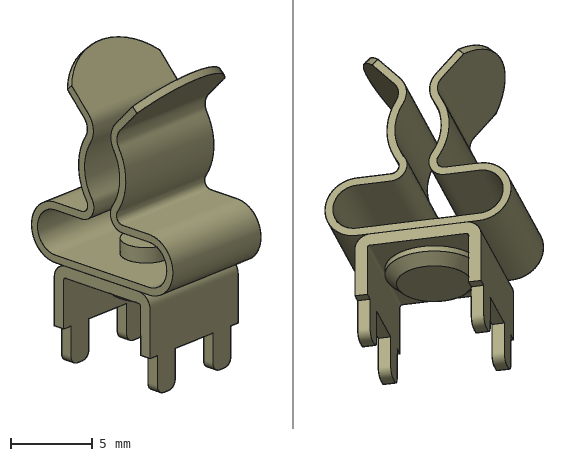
import cadquery as cq
import math

height = 20.35
width = 8.0

bracket_span = 8.0
bracket_height = 6.8
bracket_thickness = 0.8
bracket_outer_radius = 0.95
bracket_inner_radius = bracket_outer_radius - bracket_thickness
pin_length = 2.6
pin_width = 1.63
pin_spacing = 5.05
pin_corner_radius = 0.6

clip_thickness = 0.5
clip_span = 11.8
loop_height = 4.0
loop_radius = loop_height / 2
throat_radius = 1.02
mouth_radius = 1.5
throat_half_gap = 0.7
mouth_half_gap = 0.73
seat_half_gap = 1.47
seat_radius = 3.35
arm_angle = 47.0
tip_radius = 5.0

shank_diameter = 3.22
rivet_top = 8.32
head_diameter = 6.06
head_end_diameter = 4.64
head_rim_height = 0.37
head_height = 1.02

bracket_underside = bracket_height - bracket_thickness


def direction_at(angle):
    """Unit direction in XZ at an angle in degrees from +X."""
    return math.cos(math.radians(angle)), math.sin(math.radians(angle))


def along(point, direction, distance):
    return point[0] + distance * direction[0], point[1] + distance * direction[1]


def between(start, end):
    """Unit direction from one point to another."""
    length = math.dist(start, end)
    return (end[0] - start[0]) / length, (end[1] - start[1]) / length


def tangent_rise(centre_distance, run):
    """Height between the centres of two tangent arcs that lie run apart in X."""
    return math.sqrt(centre_distance**2 - run**2)


def extrude_across(sketch):
    """Extrude an XZ sketch over the full width, centred on Y = 0."""
    return sketch.extrude(width / 2, both=True)


def rivet_hole():
    return cq.Workplane("XY").circle(shank_diameter / 2).extrude(rivet_top)


loop_x = clip_span / 2 - loop_radius
loop_centre = (loop_x, bracket_height + loop_radius)
throat_centre = (
    throat_half_gap + throat_radius,
    bracket_height + loop_height - clip_thickness + throat_radius,
)
seat_x = seat_half_gap - seat_radius
seat_centre = (
    seat_x,
    throat_centre[1] + tangent_rise(seat_radius + throat_radius, throat_centre[0] - seat_x),
)
mouth_x = mouth_half_gap + mouth_radius
mouth_centre = (
    mouth_x,
    seat_centre[1] + tangent_rise(seat_radius + mouth_radius, mouth_x - seat_x),
)

arm_direction = direction_at(arm_angle)
arm_normal = direction_at(arm_angle + 90)
arm_start = along(mouth_centre, arm_normal, mouth_radius)
arm_length = (height - arm_start[1]) / arm_direction[1]
arm_tip = along(arm_start, arm_direction, arm_length)


def half_strip():
    """Right half of the clip, with square arm ends."""
    to_throat = between(seat_centre, throat_centre)
    to_mouth = between(seat_centre, mouth_centre)
    inner_throat_radius = throat_radius - clip_thickness
    inner_mouth_radius = mouth_radius - clip_thickness
    inner_loop_radius = loop_radius - clip_thickness
    outer_seat_radius = seat_radius + clip_thickness
    throat_mid = direction_at(225)
    mouth_mid = direction_at(180)
    right, down, up = (1, 0), (0, -1), (0, 1)

    profile = (
        cq.Workplane("XZ")
        .moveTo(0, bracket_height)
        .lineTo(*along(loop_centre, down, loop_radius))
        .threePointArc(along(loop_centre, right, loop_radius), along(loop_centre, up, loop_radius))
        .lineTo(*along(throat_centre, down, inner_throat_radius))
        .threePointArc(
            along(throat_centre, throat_mid, inner_throat_radius),
            along(seat_centre, to_throat, outer_seat_radius),
        )
        .threePointArc(
            along(seat_centre, right, outer_seat_radius),
            along(seat_centre, to_mouth, outer_seat_radius),
        )
        .threePointArc(
            along(mouth_centre, mouth_mid, inner_mouth_radius),
            along(mouth_centre, arm_normal, inner_mouth_radius),
        )
        .lineTo(*along(arm_tip, arm_normal, -clip_thickness))
        .lineTo(*arm_tip)
        .lineTo(*arm_start)
        .threePointArc(
            along(mouth_centre, mouth_mid, mouth_radius),
            along(seat_centre, to_mouth, seat_radius),
        )
        .threePointArc(
            along(seat_centre, right, seat_radius),
            along(seat_centre, to_throat, seat_radius),
        )
        .threePointArc(
            along(throat_centre, throat_mid, throat_radius),
            along(throat_centre, down, throat_radius),
        )
        .lineTo(*along(loop_centre, up, inner_loop_radius))
        .threePointArc(
            along(loop_centre, right, inner_loop_radius),
            along(loop_centre, down, inner_loop_radius),
        )
        .lineTo(0, bracket_height + clip_thickness)
        .close()
    )
    return extrude_across(profile)


def tip_waste():
    """Material outside the rounded end of the right arm, cut square to the arm."""
    chord_drop = tip_radius - math.sqrt(tip_radius**2 - (width / 2) ** 2)
    arm_plane = cq.Plane(
        origin=(arm_tip[0], 0, arm_tip[1]),
        xDir=(arm_direction[0], 0, arm_direction[1]),
        normal=(arm_normal[0], 0, arm_normal[1]),
    )
    return (
        cq.Workplane(arm_plane)
        .moveTo(-chord_drop, -width / 2)
        .threePointArc((0, 0), (-chord_drop, width / 2))
        .lineTo(chord_drop, width / 2)
        .lineTo(chord_drop, -width / 2)
        .close()
        .extrude(2 * clip_thickness, both=True)
    )


def make_clip():
    half = half_strip().cut(tip_waste())
    return half.union(half.mirror("YZ")).cut(rivet_hole())


def make_bracket():
    leg_middle = bracket_height / 2
    outer = cq.Workplane("XZ").center(0, leg_middle).rect(bracket_span, bracket_height)
    outer = extrude_across(outer).edges("|Y and >Z").fillet(bracket_outer_radius)
    inner = cq.Workplane("XZ").center(0, bracket_underside / 2)
    inner = inner.rect(bracket_span - 2 * bracket_thickness, bracket_underside)
    inner = extrude_across(inner).edges("|Y and >Z").fillet(bracket_inner_radius)
    channel = outer.cut(inner)

    pins = (
        cq.Workplane("YZ")
        .pushPoints([(side * pin_spacing / 2, pin_length / 2) for side in (-1, 1)])
        .rect(pin_width, pin_length)
        .extrude(bracket_span / 2, both=True)
        .edges("|X and <Z")
        .fillet(pin_corner_radius)
    )
    pin_gaps = cq.Workplane("XY").rect(bracket_span, width).extrude(pin_length).cut(pins)
    return channel.cut(pin_gaps).cut(rivet_hole())


def make_rivet():
    head_bottom = bracket_underside - head_height
    return (
        cq.Workplane("XZ")
        .moveTo(0, head_bottom)
        .lineTo(head_end_diameter / 2, head_bottom)
        .lineTo(head_diameter / 2, bracket_underside - head_rim_height)
        .lineTo(head_diameter / 2, bracket_underside)
        .lineTo(shank_diameter / 2, bracket_underside)
        .lineTo(shank_diameter / 2, rivet_top)
        .lineTo(0, rivet_top)
        .close()
        .revolve(360, (0, 0, 0), (0, 1, 0))
    )


clip = make_clip()
bracket = make_bracket()
rivet = make_rivet()

result = cq.Compound.makeCompound([clip.solids().val(), bracket.solids().val(), rivet.val()])